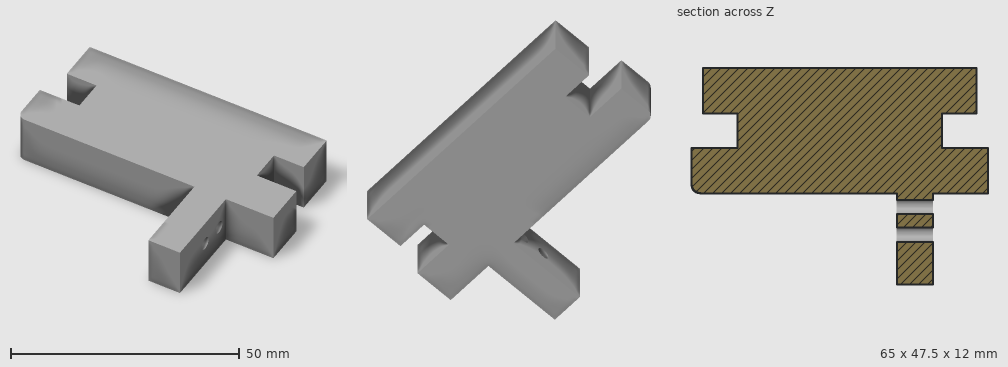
import cadquery as cq

length = 65.0
depth = 47.5
thickness = 12.0

arm_depth = 20.0
rear_bar_depth = 10.0
notch_width = 7.5
rear_bar_inset = 2.5
neck_inset = 10.0
corner_radius = 2.0

arm_left = 45.0
arm_width = 8.0

hole_diameter = 3.0
hole_distances_from_arm_tip = (11.0, 17.0)


def slab(inset, y_start, y_end):
    """Full-thickness block inset equally from both ends of the part."""
    width = length - 2 * inset
    return cq.Workplane("XY").box(width, y_end - y_start, thickness, centered=False).translate(
        (inset, y_start, 0)
    )


def make_body():
    notch_back = depth - rear_bar_depth
    notch_front = notch_back - notch_width
    front_bar = slab(0, arm_depth, notch_front)
    front_bar = front_bar.edges("|Z and <X and <Y").fillet(corner_radius)
    neck = slab(neck_inset, notch_front, notch_back)
    rear_bar = slab(rear_bar_inset, notch_back, depth)
    return front_bar.union(neck).union(rear_bar)


def make_arm():
    arm = cq.Workplane("XY").box(arm_width, arm_depth, thickness, centered=False)
    holes = (
        cq.Workplane("YZ")
        .pushPoints([(y, thickness / 2) for y in hole_distances_from_arm_tip])
        .circle(hole_diameter / 2)
        .extrude(arm_width)
    )
    return arm.cut(holes).translate((arm_left, 0, 0))


result = make_body().union(make_arm())